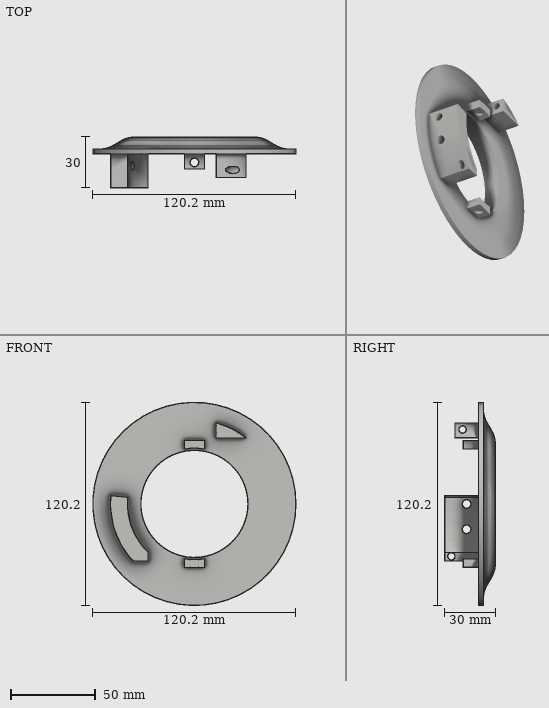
import cadquery as cq
import math


RING_OUTER_RADIUS = 60.1
BORE_RADIUS = 31.6
FLANGE_THICKNESS = 3.0
RING_HEIGHT = 10.0
CREST_WIDTH = 4.0
BLEND_RADIUS = 15.0
SLOPE_ANGLE = math.radians(30)

SCREW_HOLE_DIAMETER = 5.0
PIN_HOLE_DIAMETER = 4.2

BLOCK_OUTER_RADIUS = BORE_RADIUS + 18.0

LUG_WIDTH = 12.0
LUG_DEPTH = 9.0
LUG_INNER_RADIUS = 33.0
LUG_OUTER_Z = 37.6
LUG_HOLE_Y = -5.0

WEDGE_DEPTH = 14.0
WEDGE_LEFT_X = 12.8
WEDGE_BOTTOM_Z = 39.0
WEDGE_HOLE_Y = -9.4
WEDGE_HOLE_Z = 44.0

BRACKET_DEPTH = 20.0
BRACKET_INNER_RADIUS = BORE_RADIUS + 8.0
BRACKET_TOP_ANGLE = math.radians(180 - 5.6)
BRACKET_BOTTOM_Z = -33.8
BRACKET_RIGHT_X = -27.3
BRACKET_SCREW_Y = -7.0
BRACKET_SCREW_ZS = (0.0, -15.0)
BRACKET_PIN_Y = -16.0
BRACKET_PIN_Z = -31.0


def on_circle(radius, angle):
    """Point (x, z) on a circle about the ring axis."""
    return (radius * math.cos(angle), radius * math.sin(angle))


def x_on_circle(radius, z):
    """Positive x of the point at height z on a circle about the ring axis."""
    return math.sqrt(radius**2 - z**2)


def angle_of(x, z):
    return math.atan2(z, x) % (2 * math.pi)


def hole_along_x(diameter, y, z):
    """Cutter that passes through the full width of the part."""
    length = 2 * RING_OUTER_RADIUS
    return cq.Workplane("YZ", origin=(-length / 2, 0, 0)).center(y, z).circle(diameter / 2).extrude(length)


def make_ring():
    """Flange with an S-shaped dome, revolved from its (radius, y) section."""
    crest_radius = BORE_RADIUS + CREST_WIDTH
    half_angle = SLOPE_ANGLE / 2
    arc_run = BLEND_RADIUS * math.sin(SLOPE_ANGLE)
    arc_drop = BLEND_RADIUS * (1 - math.cos(SLOPE_ANGLE))
    mid_run = BLEND_RADIUS * math.sin(half_angle)
    mid_drop = BLEND_RADIUS * (1 - math.cos(half_angle))
    slope_drop = RING_HEIGHT - FLANGE_THICKNESS - 2 * arc_drop
    slope_run = slope_drop / math.tan(SLOPE_ANGLE)
    foot_radius = crest_radius + 2 * arc_run + slope_run

    section = (
        cq.Workplane("XY")
        .moveTo(BORE_RADIUS, 0)
        .lineTo(BORE_RADIUS, RING_HEIGHT)
        .lineTo(crest_radius, RING_HEIGHT)
        .threePointArc(
            (crest_radius + mid_run, RING_HEIGHT - mid_drop),
            (crest_radius + arc_run, RING_HEIGHT - arc_drop),
        )
        .lineTo(foot_radius - arc_run, FLANGE_THICKNESS + arc_drop)
        .threePointArc(
            (foot_radius - mid_run, FLANGE_THICKNESS + mid_drop),
            (foot_radius, FLANGE_THICKNESS),
        )
        .lineTo(RING_OUTER_RADIUS, FLANGE_THICKNESS)
        .lineTo(RING_OUTER_RADIUS, 0)
        .close()
    )
    return section.revolve(360, (0, 0, 0), (0, 1, 0))


def make_lug(side):
    """Drilled lug above (side = 1) or below (side = -1) the bore."""
    half_width = LUG_WIDTH / 2
    corner_z = side * x_on_circle(LUG_INNER_RADIUS, half_width)
    outer_z = side * LUG_OUTER_Z
    body = (
        cq.Workplane("XZ")
        .moveTo(-half_width, outer_z)
        .lineTo(half_width, outer_z)
        .lineTo(half_width, corner_z)
        .threePointArc((0, side * LUG_INNER_RADIUS), (-half_width, corner_z))
        .close()
        .extrude(LUG_DEPTH)
    )
    hole = (
        cq.Workplane("XY", origin=(0, LUG_HOLE_Y, -RING_OUTER_RADIUS))
        .circle(SCREW_HOLE_DIAMETER / 2)
        .extrude(2 * RING_OUTER_RADIUS)
    )
    return body.cut(hole)


def make_wedge():
    """Circle segment with two square sides and a pin hole along X."""
    top_z = x_on_circle(BLOCK_OUTER_RADIUS, WEDGE_LEFT_X)
    tip_x = x_on_circle(BLOCK_OUTER_RADIUS, WEDGE_BOTTOM_Z)
    mid_angle = (angle_of(WEDGE_LEFT_X, top_z) + angle_of(tip_x, WEDGE_BOTTOM_Z)) / 2
    body = (
        cq.Workplane("XZ")
        .moveTo(WEDGE_LEFT_X, WEDGE_BOTTOM_Z)
        .lineTo(WEDGE_LEFT_X, top_z)
        .threePointArc(on_circle(BLOCK_OUTER_RADIUS, mid_angle), (tip_x, WEDGE_BOTTOM_Z))
        .close()
        .extrude(WEDGE_DEPTH)
    )
    return body.cut(hole_along_x(PIN_HOLE_DIAMETER, WEDGE_HOLE_Y, WEDGE_HOLE_Z))


def make_bracket():
    """Curved block with a radial top face and a squared lower end."""
    outer_end = (-x_on_circle(BLOCK_OUTER_RADIUS, BRACKET_BOTTOM_Z), BRACKET_BOTTOM_Z)
    inner_end = (BRACKET_RIGHT_X, -x_on_circle(BRACKET_INNER_RADIUS, BRACKET_RIGHT_X))
    outer_mid_angle = (BRACKET_TOP_ANGLE + angle_of(*outer_end)) / 2
    inner_mid_angle = (BRACKET_TOP_ANGLE + angle_of(*inner_end)) / 2
    body = (
        cq.Workplane("XZ")
        .moveTo(*on_circle(BLOCK_OUTER_RADIUS, BRACKET_TOP_ANGLE))
        .threePointArc(on_circle(BLOCK_OUTER_RADIUS, outer_mid_angle), outer_end)
        .lineTo(BRACKET_RIGHT_X, BRACKET_BOTTOM_Z)
        .lineTo(*inner_end)
        .threePointArc(
            on_circle(BRACKET_INNER_RADIUS, inner_mid_angle),
            on_circle(BRACKET_INNER_RADIUS, BRACKET_TOP_ANGLE),
        )
        .close()
        .extrude(BRACKET_DEPTH)
    )
    for z in BRACKET_SCREW_ZS:
        body = body.cut(hole_along_x(SCREW_HOLE_DIAMETER, BRACKET_SCREW_Y, z))
    return body.cut(hole_along_x(PIN_HOLE_DIAMETER, BRACKET_PIN_Y, BRACKET_PIN_Z))


ring = make_ring()
lugs = [make_lug(side) for side in (1, -1)]
wedge = make_wedge()
bracket = make_bracket()

result = cq.Compound.makeCompound(
    [ring.val(), *[lug.val() for lug in lugs], wedge.val(), bracket.val()]
)